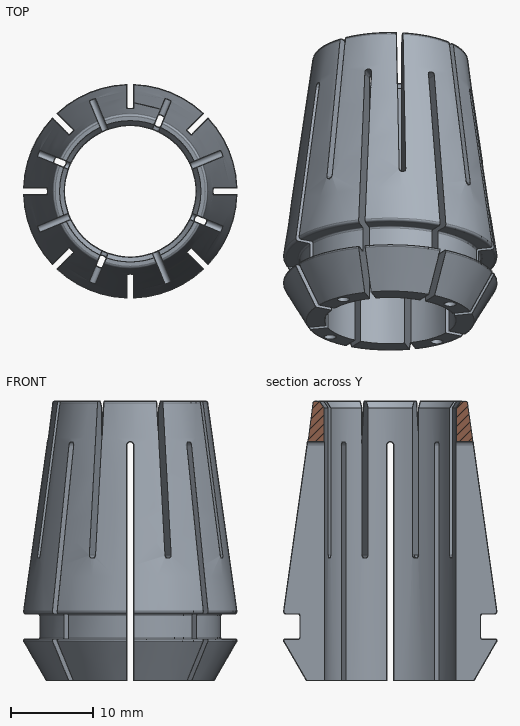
import cadquery as cq
import math

LENGTH = 34.0
MAX_RADIUS = 25.98 / 2
BORE_RADIUS = 16.0 / 2
TAPER_ANGLE = 8.0
NOSE_ANGLE = 30.0

GROOVE_BOTTOM = 5.03
GROOVE_TOP = 8.1
GROOVE_RADIUS = 11.0

GROOVE_FILLET = 0.2
NOSE_RIM_FILLET = 0.17
TAPER_END_FILLET = 0.3

MOUTH_RADIUS = 8.6
MOUTH_DEPTH = 0.85

SLOTS_PER_SET = 8
SLOT_PITCH = 360.0 / SLOTS_PER_SET
SLOT_WIDTH = 0.8
NOSE_SLOT_END = 29.05
TAPER_SLOT_END = 14.9

HOLE_COUNT = 4
HOLE_DIAMETER = 1.5
HOLE_CIRCLE_RADIUS = 9.25
FIRST_HOLE_ANGLE = 1.5 * SLOT_PITCH

CLEARANCE = 0.68
EDGE_MARGIN = 0.05


def cone_shrink(angle, length):
    """Radius lost along a cone of the given half angle and axial length."""
    return length * math.tan(math.radians(angle))


def sharp_rim_radius(angle, fillet):
    """Radius of a cone's sharp rim that reaches MAX_RADIUS once its edge is rounded."""
    slope = math.radians(angle)
    return MAX_RADIUS + fillet * (1 / math.cos(slope) + math.tan(slope) - 1)


NOSE_RIM_RADIUS = sharp_rim_radius(NOSE_ANGLE, NOSE_RIM_FILLET)
NOSE_FACE_RADIUS = NOSE_RIM_RADIUS - cone_shrink(NOSE_ANGLE, GROOVE_BOTTOM)
TAPER_BASE_RADIUS = sharp_rim_radius(TAPER_ANGLE, TAPER_END_FILLET)
TAPER_TIP_RADIUS = TAPER_BASE_RADIUS - cone_shrink(TAPER_ANGLE, LENGTH - GROOVE_TOP)


def centred_box(half_size, height):
    """Selector for edges lying inside a thin square slab centred on the Z axis."""
    return cq.selectors.BoxSelector(
        (-half_size, -half_size, height - EDGE_MARGIN),
        (half_size, half_size, height + EDGE_MARGIN),
        boundingbox=True,
    )


def circle_edge(radius, height):
    """Selector for the one circular edge of this radius and height about the Z axis."""
    return centred_box(radius + EDGE_MARGIN, height) - centred_box(radius - EDGE_MARGIN, height)


def make_body():
    """Revolved collet with bore, nose cone, groove and long taper."""
    profile = (
        cq.Workplane("XZ")
        .moveTo(BORE_RADIUS, 0)
        .lineTo(NOSE_FACE_RADIUS, 0)
        .lineTo(NOSE_RIM_RADIUS, GROOVE_BOTTOM)
        .lineTo(GROOVE_RADIUS, GROOVE_BOTTOM)
        .lineTo(GROOVE_RADIUS, GROOVE_TOP)
        .lineTo(TAPER_BASE_RADIUS, GROOVE_TOP)
        .lineTo(TAPER_TIP_RADIUS, LENGTH)
        .lineTo(MOUTH_RADIUS, LENGTH)
        .lineTo(BORE_RADIUS, LENGTH - MOUTH_DEPTH)
        .close()
    )
    body = profile.revolve(360, (0, 0, 0), (0, 1, 0))
    body = body.edges(circle_edge(NOSE_RIM_RADIUS, GROOVE_BOTTOM)).fillet(NOSE_RIM_FILLET)
    body = body.edges(circle_edge(GROOVE_RADIUS, GROOVE_BOTTOM)).fillet(GROOVE_FILLET)
    body = body.edges(circle_edge(GROOVE_RADIUS, GROOVE_TOP)).fillet(GROOVE_FILLET)
    body = body.edges(circle_edge(TAPER_BASE_RADIUS, GROOVE_TOP)).fillet(TAPER_END_FILLET)
    return body.edges(circle_edge(TAPER_TIP_RADIUS, LENGTH)).fillet(TAPER_END_FILLET)


def slot_cutter(round_end, open_end, angle):
    """Radial blade from the axis outwards, with a full round at its closed end."""
    half_width = SLOT_WIDTH / 2
    toward_open = math.copysign(1, open_end - round_end)
    arc_start = round_end + toward_open * half_width
    mouth = open_end + toward_open * CLEARANCE
    return (
        cq.Workplane("YZ")
        .moveTo(-half_width, mouth)
        .lineTo(-half_width, arc_start)
        .threePointArc((0, round_end), (half_width, arc_start))
        .lineTo(half_width, mouth)
        .close()
        .extrude(NOSE_RIM_RADIUS + CLEARANCE)
        .rotate((0, 0, 0), (0, 0, 1), angle)
    )


def make_axial_holes():
    """Drillings parallel to Z that stop where the rounded slot floors end."""
    return (
        cq.Workplane("XY")
        .polarArray(HOLE_CIRCLE_RADIUS, FIRST_HOLE_ANGLE, 360, HOLE_COUNT)
        .circle(HOLE_DIAMETER / 2)
        .extrude(TAPER_SLOT_END + SLOT_WIDTH / 2)
    )


result = make_body()

for index in range(SLOTS_PER_SET):
    slot_angle = index * SLOT_PITCH
    result = result.cut(slot_cutter(NOSE_SLOT_END, 0, slot_angle))
    result = result.cut(slot_cutter(TAPER_SLOT_END, LENGTH, slot_angle + SLOT_PITCH / 2))

result = result.cut(make_axial_holes())